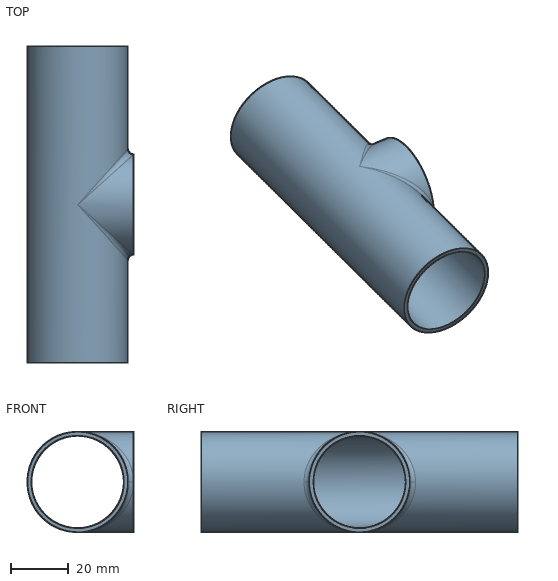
import cadquery as cq

run_length = 110.0
outer_diameter = 35.0
bore_diameter = 32.0
branch_reach = 19.5
crotch_fillet = 1.9

outer_radius = outer_diameter / 2
pole_clearance = 0.1


def run_cylinder(diameter):
    """Cylinder along Y, centred on the origin."""
    return cq.Workplane("XZ").circle(diameter / 2).extrude(run_length / 2, both=True)


def branch_cylinder(diameter):
    """Cylinder along +X, from the run axis to the branch end."""
    return cq.Workplane("YZ").circle(diameter / 2).extrude(branch_reach)


crotch_region = cq.selectors.BoxSelector(
    (pole_clearance, -outer_radius, -outer_radius),
    (outer_radius, outer_radius, outer_radius),
)
body = run_cylinder(outer_diameter).union(branch_cylinder(outer_diameter))
body = body.edges(crotch_region).fillet(crotch_fillet)

result = body.cut(run_cylinder(bore_diameter)).cut(branch_cylinder(bore_diameter))